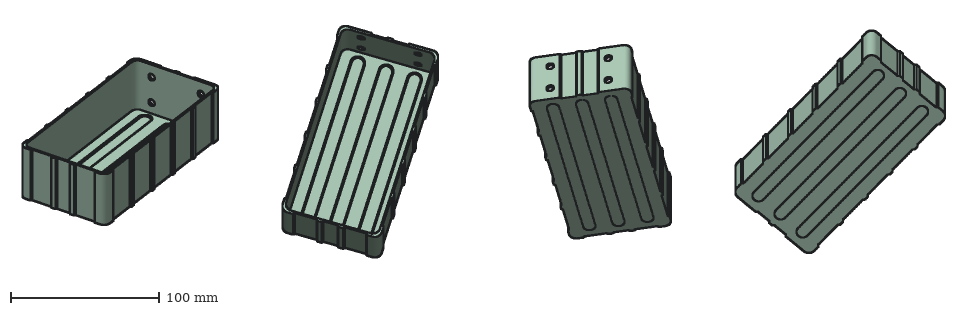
import cadquery as cq

LENGTH_X = 70.0
LENGTH_Y = 140.0
HEIGHT = 40.0
CORNER_RADIUS = 5.0

WALL = 2.0
FLOOR = 1.5
CAVITY_RADIUS = 5.0

PANEL_DEPTH = 1.0
SIDE_PANEL_WIDTH = 20.0
SIDE_RIB_WIDTH = 5.0
SIDE_PANEL_COUNT = 5
FRONT_PANELS = [(-25.0, -10.0), (-5.0, 5.0), (10.0, 25.0)]
BACK_PANELS = [(-12.5, -2.5), (2.5, 12.5)]

GROOVE_WIDTH = 10.0
GROOVE_LENGTH = 130.0
GROOVE_DEPTH = 0.8
GROOVE_TAPER = 45.0
GROOVE_PITCH = 20.0
GROOVE_COUNT = 3

HOLE_DIAMETER = 5.0
HOLE_SPACING_X = 40.0
HOLE_SPACING_Z = 20.0
HOLE_CENTER_Z = 20.0


def rounded_block(size_x, size_y, height, radius, base_z):
    """Upright block with rounded vertical corners, standing on base_z."""
    block = cq.Workplane("XY", origin=(0, 0, base_z)).rect(size_x, size_y).extrude(height)
    return block.edges("|Z").fillet(radius)


def centered_positions(count, pitch):
    """Evenly spaced positions, symmetric about zero."""
    return [(index - (count - 1) / 2) * pitch for index in range(count)]


def panel_cutter(start, end, wall_distance, turn):
    """Trapezoidal prism that sinks one panel into the -Y wall, turned about Z to another wall.

    start and end bound the panel at its bottom; the flanks flare outward at 45 degrees.
    """
    outline = [
        (start, -wall_distance + PANEL_DEPTH),
        (end, -wall_distance + PANEL_DEPTH),
        (end + PANEL_DEPTH, -wall_distance),
        (start - PANEL_DEPTH, -wall_distance),
    ]
    cutter = cq.Workplane("XY").polyline(outline).close().extrude(HEIGHT)
    return cutter.rotate((0, 0, 0), (0, 0, 1), turn)


def cut_side_panels(body):
    half_width = SIDE_PANEL_WIDTH / 2
    for center in centered_positions(SIDE_PANEL_COUNT, SIDE_PANEL_WIDTH + SIDE_RIB_WIDTH):
        for turn in (90, -90):
            body = body.cut(panel_cutter(center - half_width, center + half_width, LENGTH_X / 2, turn))
    return body


def cut_end_panels(body):
    for start, end in FRONT_PANELS:
        body = body.cut(panel_cutter(start, end, LENGTH_Y / 2, 0))
    for start, end in BACK_PANELS:
        body = body.cut(panel_cutter(start, end, LENGTH_Y / 2, 180))
    return body


def cut_floor_grooves(body):
    centers = [(x, 0) for x in centered_positions(GROOVE_COUNT, GROOVE_PITCH)]
    grooves = (
        cq.Workplane("XY", origin=(0, 0, FLOOR))
        .pushPoints(centers)
        .slot2D(GROOVE_LENGTH, GROOVE_WIDTH, 90)
        .extrude(-GROOVE_DEPTH, taper=GROOVE_TAPER)
    )
    return body.cut(grooves)


def cut_back_holes(body):
    holes = (
        cq.Workplane("XZ", origin=(0, LENGTH_Y / 2, HOLE_CENTER_Z))
        .rarray(HOLE_SPACING_X, HOLE_SPACING_Z, 2, 2)
        .circle(HOLE_DIAMETER / 2)
        .extrude(WALL)
    )
    return body.cut(holes)


body = rounded_block(LENGTH_X, LENGTH_Y, HEIGHT, CORNER_RADIUS, 0)
cavity = rounded_block(LENGTH_X - 2 * WALL, LENGTH_Y - 2 * WALL, HEIGHT - FLOOR, CAVITY_RADIUS, FLOOR)
body = body.cut(cavity)
body = cut_side_panels(body)
body = cut_end_panels(body)
body = cut_floor_grooves(body)
result = cut_back_holes(body)